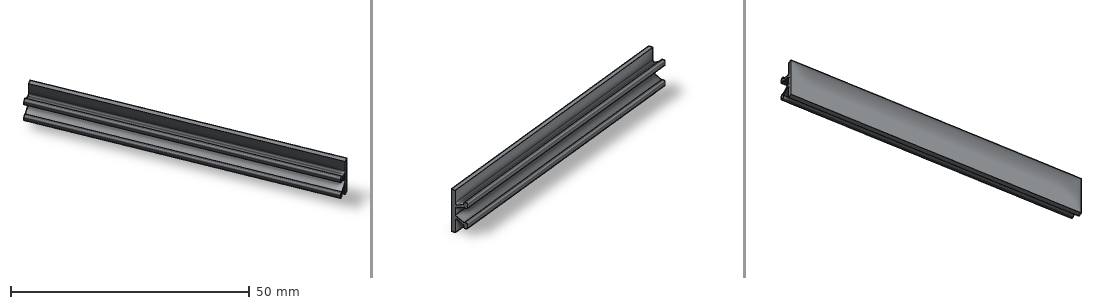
import cadquery as cq

length = 70.0
depth = 4.3
height = 10.5

wall_thickness = 1.05
wall_front = depth - wall_thickness

bead_width = 1.05
bead_height = 1.5
bead_corner_radius = 0.4
bead_center_y = bead_width / 2
bead_center_z = 2.5

rib_inner_root_z = 0.9
rib_outer_root_z = 1.55
rib_inner_tip_z = 2.1
rib_outer_tip_z = 2.9
root_fillet = 0.4


def make_wall():
    return cq.Workplane("XY").box(length, wall_thickness, height).translate(
        (0, wall_front + wall_thickness / 2, 0)
    )


def make_rib(side):
    """Rib from the wall to the middle of the bead; side is +1 (upper) or -1 (lower)."""
    outline = [
        (wall_front, side * rib_inner_root_z),
        (bead_center_y, side * rib_inner_tip_z),
        (bead_center_y, side * rib_outer_tip_z),
        (wall_front, side * rib_outer_root_z),
    ]
    return cq.Workplane("YZ").polyline(outline).close().extrude(length / 2, both=True)


def make_bead(side):
    return (
        cq.Workplane("YZ")
        .center(bead_center_y, side * bead_center_z)
        .rect(bead_width, bead_height)
        .extrude(length / 2, both=True)
        .edges("|X")
        .fillet(bead_corner_radius)
    )


def root_edge(side):
    """Selector for the corner where the rib's outer face meets the wall."""
    return cq.selectors.NearestToPointSelector((0, wall_front, side * rib_outer_root_z))


result = make_wall()
for side in (1, -1):
    result = result.union(make_rib(side))
    result = result.edges(root_edge(side)).fillet(root_fillet)
    result = result.union(make_bead(side))